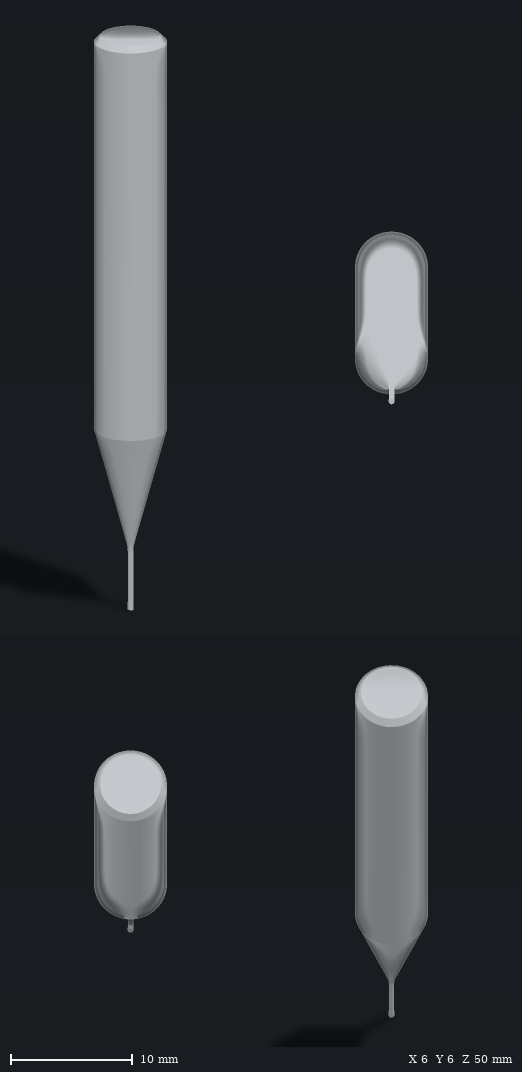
import cadquery as cq
import math

total_length = 50.0
shank_radius = 6.0 / 2
shank_chamfer = 0.5
cone_top = 15.75
cone_half_angle = math.radians(15)

neck_radius = 0.45 / 2
neck_top = 5.05
blend_radius = 3.0

head_radius = 0.47 / 2
head_length = 0.6
neck_flare_height = 0.1
tip_rise = 0.05

blend_top = neck_top + blend_radius * math.sin(cone_half_angle)
cone_tip_radius = neck_radius + blend_radius * (1 - math.cos(cone_half_angle))
blend_mid_angle = cone_half_angle / 2
blend_mid = (
    neck_radius + blend_radius * (1 - math.cos(blend_mid_angle)),
    neck_top + blend_radius * math.sin(blend_mid_angle),
)


def make_holder():
    """Chamfered shank, cone and neck, flaring at the bottom to meet the head."""
    profile = (
        cq.Workplane("XZ")
        .moveTo(0, head_length)
        .lineTo(head_radius, head_length)
        .lineTo(neck_radius, head_length + neck_flare_height)
        .lineTo(neck_radius, neck_top)
        .threePointArc(blend_mid, (cone_tip_radius, blend_top))
        .lineTo(shank_radius, cone_top)
        .lineTo(shank_radius, total_length - shank_chamfer)
        .lineTo(shank_radius - shank_chamfer, total_length)
        .lineTo(0, total_length)
        .close()
    )
    return profile.revolve(360, (0, 0, 0), (0, 1, 0))


def make_cutting_head():
    """Short cylinder whose end face slants, its lowest point being on the +X side."""
    cylinder = cq.Workplane("XY").circle(head_radius).extrude(head_length)
    slant = (
        cq.Workplane("XZ")
        .moveTo(-head_radius, 0)
        .lineTo(head_radius, 0)
        .lineTo(-head_radius, tip_rise)
        .close()
        .extrude(head_radius, both=True)
    )
    return cylinder.cut(slant)


holder = make_holder()
cutting_head = make_cutting_head()

result = cq.Compound.makeCompound([holder.val(), cutting_head.val()])